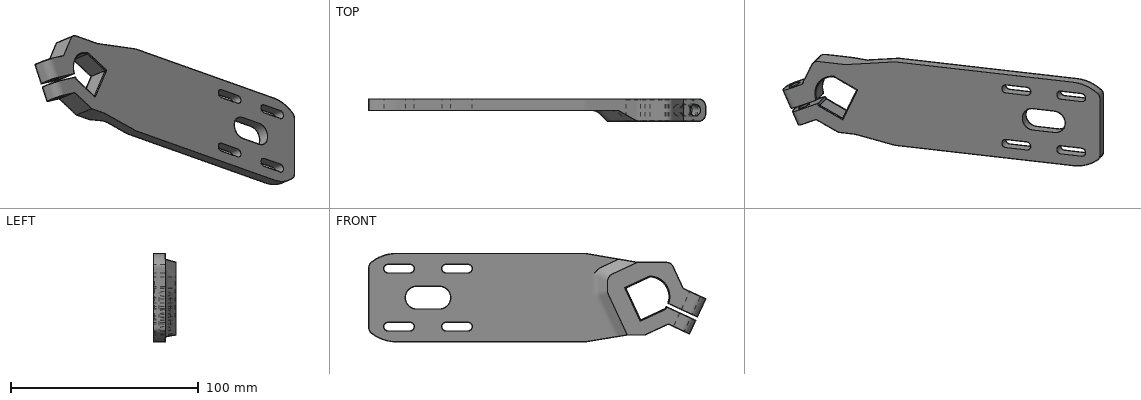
import cadquery as cq
import math

length = 179.7
height = 47.3
depth = 12.0
plate_depth = 6.3
head_rise = depth - plate_depth

end_arc_radius = 22.0
end_edge_height = 35.4
end_corner_radius = 4.0
slot_group_x = 31.6
slot_spacing_x = 30.9
slot_spacing_z = 30.9
slot_length = 16.2
slot_width = 4.5
window_length = 24.0
window_width = 12.0

taper_start_x = 115.3
taper_blend_radius = 10.0
head_start_x = 143.2
head_foot_x = 137.8
head_top_z = 18.9
head_bottom_z = -20.0

tilt = 25.0
bore_x = 149.5
bore_z = 0.5
square_side = 18.7
bore_diameter = 21.0
bore_chamfer = 0.5
head_side_offset = 18.3
head_under_offset = 17.6
head_corner_radius = 4.0

slit_width = 2.0
ear_above = 11.7
ear_below = 9.0
ear_round = 4.3
screw_diameter = 6.3
screw_end_gap = 6.3

step_offset = 19.2
step_crest_x = 127.2
step_slope = 45.0
step_foot_radius = 5.0
step_corner_radius = 7.0

cos_tilt = math.cos(math.radians(tilt))
sin_tilt = math.sin(math.radians(tilt))
cos_double_tilt = math.cos(math.radians(2 * tilt))
sin_double_tilt = math.sin(math.radians(2 * tilt))
ear_length = (length - bore_x - ear_above * sin_tilt) / cos_tilt
reach = 2 * length


def bore_frame(along, across):
    """Point in the frame of the square bore, tilted up."""
    return (bore_x + along * cos_tilt - across * sin_tilt,
            bore_z + along * sin_tilt + across * cos_tilt)


def ear_frame(along, across):
    """Point in the frame of the ears, tilted down."""
    return (bore_x + along * cos_tilt + across * sin_tilt,
            bore_z - along * sin_tilt + across * cos_tilt)


def front_plane(y):
    """XZ sketch plane at the given Y; positive extrusion runs toward -Y."""
    return cq.Workplane("XZ", origin=(0, y, 0))


def prism(points, y_back, thickness):
    return front_plane(y_back).polyline(points).close().extrude(thickness)


def plate_outline_body(thickness):
    half = height / 2
    rise = half - end_edge_height / 2
    run = math.sqrt(end_arc_radius ** 2 - (end_arc_radius - rise) ** 2)
    mid_angle = math.acos((end_arc_radius - rise) / end_arc_radius) / 2
    mid_x = run - end_arc_radius * math.sin(mid_angle)
    mid_z = half - end_arc_radius * (1 - math.cos(mid_angle))
    body = (
        front_plane(0)
        .moveTo(run, half)
        .lineTo(taper_start_x, half)
        .lineTo(head_start_x, head_top_z)
        .lineTo(head_start_x, head_bottom_z)
        .lineTo(head_foot_x, head_bottom_z)
        .lineTo(taper_start_x, -half)
        .lineTo(run, -half)
        .threePointArc((mid_x, -mid_z), (0, -end_edge_height / 2))
        .lineTo(0, end_edge_height / 2)
        .threePointArc((mid_x, mid_z), (run, half))
        .close()
        .extrude(thickness)
    )
    for z in (half, -half):
        taper_corner = cq.selectors.NearestToPointSelector((taper_start_x, -thickness / 2, z))
        body = body.edges("|Y").edges(taper_corner).fillet(taper_blend_radius)
    return body.faces("<X").edges("|Y").fillet(end_corner_radius)


def head_body():
    side_x = bore_x + (head_side_offset - (head_top_z - bore_z) * sin_tilt) / cos_tilt
    under_x = bore_x + (head_under_offset + (head_bottom_z - bore_z) * cos_tilt) / sin_tilt
    ear_top = (head_side_offset - ear_above * sin_double_tilt) / cos_double_tilt
    ear_bottom = (head_under_offset - ear_below * cos_double_tilt) / sin_double_tilt
    block = prism([
        (head_start_x, head_top_z),
        (side_x, head_top_z),
        ear_frame(ear_top, ear_above),
        ear_frame(ear_length, ear_above),
        ear_frame(ear_length, -ear_below),
        ear_frame(ear_bottom, -ear_below),
        (under_x, head_bottom_z),
        (head_start_x, head_bottom_z),
    ], 0, depth)
    corner = cq.selectors.NearestToPointSelector((side_x, -depth / 2, head_top_z))
    block = block.edges("|Y").edges(corner).fillet(head_corner_radius)
    end_x, end_z = ear_frame(ear_length, (ear_above - ear_below) / 2)
    ear_end = cq.selectors.NearestToPointSelector((end_x, -depth / 2, end_z))
    return block.faces(ear_end).edges("not |Y").fillet(ear_round)


def step_wall(crest, turn):
    """Body behind a sloping wall with a rounded foot; turn (degrees) swings it about the bore axis."""
    tangent = step_foot_radius * math.tan(math.radians(step_slope / 2))
    foot = crest - head_rise / math.tan(math.radians(step_slope))
    arc_start = foot - tangent

    def foot_arc(angle):
        return (arc_start + step_foot_radius * math.sin(math.radians(angle)),
                -plate_depth - step_foot_radius * (1 - math.cos(math.radians(angle))))

    profile = (
        cq.Workplane("XY")
        .moveTo(arc_start, -plate_depth)
        .threePointArc(foot_arc(step_slope / 2), foot_arc(step_slope))
        .lineTo(crest, -depth)
        .lineTo(reach, -depth)
        .lineTo(reach, -plate_depth)
        .close()
        .extrude(reach, both=True)
    )
    return profile.rotate((0, 0, 0), (0, 1, 0), -turn).translate((bore_x, 0, bore_z))


def step_body():
    upright = step_wall(step_crest_x - bore_x, 0)
    lower = step_wall(-step_offset, tilt)
    upper_foot = step_offset + head_rise / math.tan(math.radians(step_slope))
    upper = (
        cq.Workplane("YZ")
        .polyline([(-plate_depth, upper_foot), (-depth, step_offset),
                   (-depth, -reach), (-plate_depth, -reach)])
        .close()
        .extrude(reach, both=True)
        .rotate((0, 0, 0), (0, 1, 0), -tilt)
        .translate((bore_x, 0, bore_z))
    )
    step = upright.intersect(lower).intersect(upper)
    on_upright_face = cq.selectors.NearestToPointSelector(
        (step_crest_x - head_rise / 2, -plate_depth - head_rise / 2, bore_z + step_offset / 3))
    return step.faces(on_upright_face).edges("not |Z").fillet(step_corner_radius)


def mounting_slots():
    return (
        front_plane(0)
        .center(slot_group_x, 0)
        .rarray(slot_spacing_x, slot_spacing_z, 2, 2)
        .slot2D(slot_length, slot_width)
        .extrude(depth)
    )


def window():
    return front_plane(0).center(slot_group_x, 0).slot2D(window_length, window_width).extrude(depth)


def bore_section(growth, y):
    """Wire of the bore at the given Y: a square with one side bulged to a circle, enlarged by growth."""
    half = square_side / 2 + growth
    radius = bore_diameter / 2 + growth
    chord = math.sqrt(radius ** 2 - half ** 2)
    return (
        front_plane(y)
        .moveTo(*bore_frame(-half, half))
        .lineTo(*bore_frame(chord, half))
        .threePointArc(bore_frame(radius, 0), bore_frame(chord, -half))
        .lineTo(*bore_frame(-half, -half))
        .close()
    )


def bore():
    """Bore body with a tapered edge break at each end."""
    body = bore_section(0, 0).extrude(depth)
    for y_end, y_inner in ((0, -bore_chamfer), (-depth, bore_chamfer - depth)):
        outer_wire = bore_section(bore_chamfer, y_end).val()
        inner_wire = bore_section(0, y_inner).val()
        body = body.union(cq.Workplane(cq.Solid.makeLoft([outer_wire, inner_wire], True)))
    return body


def slit():
    half = slit_width / 2
    return prism([ear_frame(0, -half), ear_frame(reach, -half),
                  ear_frame(reach, half), ear_frame(0, half)], 0, depth)


def screw_hole():
    x, z = ear_frame(ear_length - screw_end_gap, ear_above)
    axis = cq.Plane(origin=(x, -depth / 2, z), xDir=(0, 1, 0), normal=(-sin_tilt, 0, -cos_tilt))
    return cq.Workplane(axis).circle(screw_diameter / 2).extrude(ear_above + ear_below)


step = step_body().intersect(plate_outline_body(depth))
body = plate_outline_body(plate_depth).union(step).union(head_body())
for opening in (mounting_slots(), window(), bore(), slit(), screw_hole()):
    body = body.cut(opening)

result = body